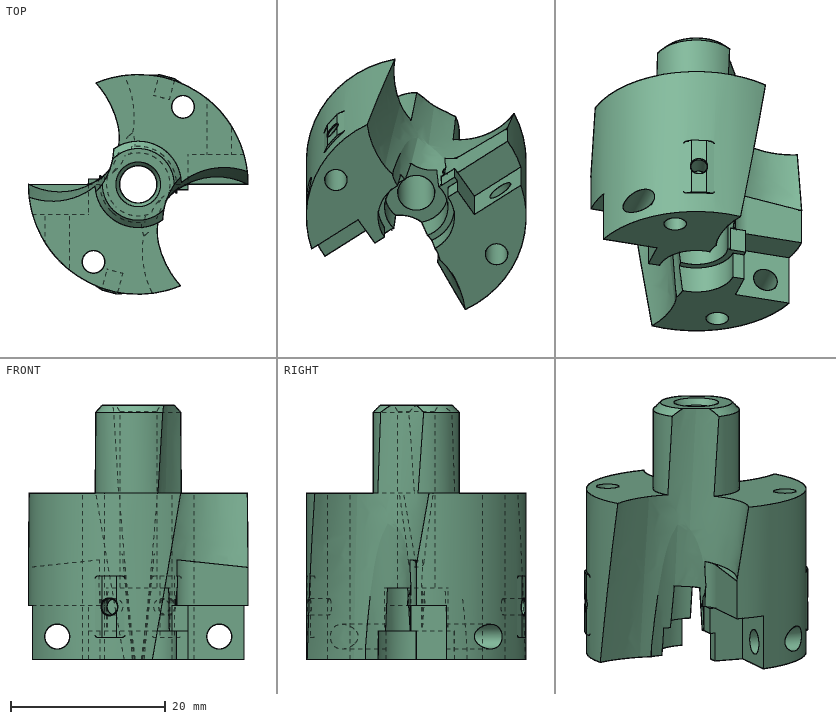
import cadquery as cq
import math


BODY_RADIUS = 14.25
BODY_HEIGHT = 21.6
SHANK_RADIUS = 5.6
TOTAL_HEIGHT = 33.01
SHANK_CHAMFER = 0.95
BORE_RADIUS = 2.4
BORE_CHAMFER = 0.5
BORE_CHAMFER_DEPTH = 0.85

FLUTE_TURN_PER_MM = 0.71
TRAILING_RIM = (5.5, -13.15)
TRAILING_WALL = (3.37, -9.86)
CORE_START = (2.63, -7.6)
CORE_WALL = (2.55, -5.0)
CORE_EDGE = (3.6, -2.06)
LEADING_WALL = (6.3, 0.75)
LEADING_RIM = (14.3, 1.6)
FLUTE_OUTSIDE_RADIUS = 25.0

RELIEF_TILT = 7.0
RELIEF_START = (0.7, -6.6)
RELIEF_SIDE = (0.4, -5.1)
RELIEF_CORNER = (0.57, -3.66)
RELIEF_BACK = (2.2, -1.5)
RELIEF_END = (3.9, -0.7)
RELIEF_OPEN_SIDE = (5.0, -5.0)

SEAT_FLAT_START = 6.9
SEAT_INNER_X = 5.0
SEAT_FILLET = 2.65
SEAT_TOP_Z = 12.75
SEAT_TOP_SLOPE = 6.1
SEAT_BACKING = 3.0

POCKET_HEIGHT = 7.0
POCKET_INNER_X = 6.46
POCKET_DEPTH = 3.9
LEDGE_OFFSET = 0.7
LEDGE_INNER_X = 4.4

LOWER_STEP_RADIUS = 4.95
LOWER_STEP_HEIGHT = 3.7
UPPER_STEP_RADIUS = 4.1
UPPER_STEP_TOP_Z = 9.3

CROSS_HOLE_X = 10.5
CROSS_HOLE_Z = 3.0
CROSS_HOLE_RADIUS = 1.6
AXIAL_HOLE_CIRCLE = 11.6
AXIAL_HOLE_ANGLE = 60.0
AXIAL_HOLE_RADIUS = 1.45

PAD_ANGLE = 15.0
PAD_DISTANCE = 14.46
PAD_FACE_WIDTH = 1.96
PAD_WIDTH = 4.1
PAD_DROP = 0.37
PAD_ROOT = 1.5
PAD_HEIGHT = 8.0
PAD_MID_Z = 6.86
PAD_CORNER = 0.5
PAD_HOLE_RADIUS = 1.05
PAD_HOLE_DEPTH = 2.8
PAD_HOLE_CHAMFER = 0.12

HALF_TURNS = (0, 180)


def turned(shape, angle):
    return shape.rotate((0, 0, 0), (0, 0, 1), angle)


def box_between(x_range, y_range, z_range):
    lengths = [high - low for low, high in (x_range, y_range, z_range)]
    corner = (x_range[0], y_range[0], z_range[0])
    return cq.Workplane("XY").box(*lengths, centered=False).translate(corner)


def blank():
    body = cq.Workplane("XY").circle(BODY_RADIUS).extrude(BODY_HEIGHT)
    shank = cq.Workplane("XY").circle(SHANK_RADIUS).extrude(TOTAL_HEIGHT)
    return body.union(shank.faces(">Z").chamfer(SHANK_CHAMFER))


def flute():
    """Void of one flute, twisted over the full height."""
    reach = FLUTE_OUTSIDE_RADIUS / math.hypot(*LEADING_RIM)
    leading_outside = (LEADING_RIM[0] * reach, LEADING_RIM[1] * reach)
    trailing_outside = (TRAILING_RIM[0] * reach, TRAILING_RIM[1] * reach)
    outside_corner = (leading_outside[0], trailing_outside[1])
    void = (
        cq.Workplane("XY")
        .moveTo(*TRAILING_RIM)
        .threePointArc(TRAILING_WALL, CORE_START)
        .threePointArc(CORE_WALL, CORE_EDGE)
        .threePointArc(LEADING_WALL, LEADING_RIM)
        .lineTo(*leading_outside)
        .lineTo(*outside_corner)
        .lineTo(*trailing_outside)
        .close()
        .twistExtrude(TOTAL_HEIGHT, FLUTE_TURN_PER_MM * TOTAL_HEIGHT)
    )
    return turned(void, -FLUTE_TURN_PER_MM * BODY_HEIGHT)


def core_relief():
    """Void along an axis leaning toward the cutting edge, merging into the flute as it rises."""
    outline = (
        cq.Workplane("XY")
        .moveTo(*RELIEF_START)
        .threePointArc(RELIEF_SIDE, RELIEF_CORNER)
        .threePointArc(RELIEF_BACK, RELIEF_END)
        .lineTo(*RELIEF_OPEN_SIDE)
        .close()
        .val()
    )
    lean = BODY_HEIGHT * math.tan(math.radians(RELIEF_TILT))
    return cq.Workplane(cq.Solid.extrudeLinear(outline, [], cq.Vector(lean, 0, BODY_HEIGHT)))


def seat_region():
    """Space below the sloping seat top, on the outer side of the seat."""
    slope = math.tan(math.radians(SEAT_TOP_SLOPE))
    inner_top = SEAT_TOP_Z + (SEAT_FLAT_START - SEAT_INNER_X) * slope
    outer_x = 2 * BODY_RADIUS
    outer_top = SEAT_TOP_Z - (outer_x - SEAT_FLAT_START) * slope
    return (
        cq.Workplane("XZ")
        .moveTo(SEAT_INNER_X, 0)
        .lineTo(outer_x, 0)
        .lineTo(outer_x, outer_top)
        .lineTo(SEAT_INNER_X, inner_top)
        .close()
        .extrude(BODY_RADIUS, both=True)
    )


def seat_backing():
    """Material filling the flute around the seat face, left for the seat to be cut into."""
    fill = box_between(
        (SEAT_INNER_X, BODY_RADIUS), (-SEAT_BACKING, SEAT_BACKING), (POCKET_HEIGHT, BODY_HEIGHT)
    )
    cylinder = cq.Workplane("XY").circle(BODY_RADIUS).extrude(BODY_HEIGHT)
    return fill.intersect(seat_region()).intersect(cylinder)


def seat_clearance():
    """Space in front of the seat face and its fillet."""
    front_y = -BODY_RADIUS / 2
    outer_x = 2 * BODY_RADIUS
    run = SEAT_FLAT_START - SEAT_INNER_X
    rise = SEAT_FILLET - math.sqrt(SEAT_FILLET**2 - run**2)
    half_angle = math.asin(run / SEAT_FILLET) / 2
    fillet_middle = (
        SEAT_FLAT_START - SEAT_FILLET * math.sin(half_angle),
        -SEAT_FILLET * (1 - math.cos(half_angle)),
    )
    section = (
        cq.Workplane("XY", origin=(0, 0, POCKET_HEIGHT))
        .moveTo(SEAT_INNER_X, front_y)
        .lineTo(SEAT_INNER_X, -rise)
        .threePointArc(fillet_middle, (SEAT_FLAT_START, 0))
        .lineTo(outer_x, 0)
        .lineTo(outer_x, front_y)
        .close()
        .extrude(BODY_HEIGHT)
    )
    return section.intersect(seat_region())


def ledge():
    """Block beside the pocket, between the lower bore step and the seat."""
    return box_between(
        (LEDGE_INNER_X, POCKET_INNER_X), (-LEDGE_OFFSET, SEAT_BACKING), (LOWER_STEP_HEIGHT, POCKET_HEIGHT)
    )


def ledge_clearance():
    """Space in front of the ledge and of the wall below it."""
    front_y = -BODY_RADIUS / 2
    outer_x = 2 * BODY_RADIUS
    before_ledge = box_between((LEDGE_INNER_X, outer_x), (front_y, -LEDGE_OFFSET), (0, POCKET_HEIGHT))
    below_ledge = box_between((LEDGE_INNER_X, outer_x), (front_y, 0), (0, LOWER_STEP_HEIGHT))
    return before_ledge.union(below_ledge)


def pocket():
    return box_between(
        (POCKET_INNER_X, 2 * BODY_RADIUS), (-BODY_RADIUS / 2, POCKET_DEPTH), (0, POCKET_HEIGHT)
    )


def cross_hole():
    return (
        cq.Workplane("XZ")
        .center(CROSS_HOLE_X, CROSS_HOLE_Z)
        .circle(CROSS_HOLE_RADIUS)
        .extrude(BODY_RADIUS, both=True)
    )


def axial_hole():
    hole = (
        cq.Workplane("XY")
        .center(AXIAL_HOLE_CIRCLE, 0)
        .circle(AXIAL_HOLE_RADIUS)
        .extrude(BODY_HEIGHT)
    )
    return turned(hole, AXIAL_HOLE_ANGLE)


def pad():
    """Pad on the -Y side with a flat face and two sloping flanks, turned to its angle."""
    face_y = -PAD_DISTANCE
    flank_y = face_y + PAD_DROP
    root_y = face_y + PAD_ROOT
    block = (
        cq.Workplane("XY", origin=(0, 0, PAD_MID_Z - PAD_HEIGHT / 2))
        .moveTo(-PAD_WIDTH / 2, root_y)
        .lineTo(-PAD_WIDTH / 2, flank_y)
        .lineTo(-PAD_FACE_WIDTH / 2, face_y)
        .lineTo(PAD_FACE_WIDTH / 2, face_y)
        .lineTo(PAD_WIDTH / 2, flank_y)
        .lineTo(PAD_WIDTH / 2, root_y)
        .close()
        .extrude(PAD_HEIGHT)
    )
    outline = (
        cq.Workplane("XZ")
        .center(0, PAD_MID_Z)
        .rect(PAD_WIDTH, PAD_HEIGHT)
        .extrude(2 * BODY_RADIUS)
        .edges("|Y")
        .fillet(PAD_CORNER)
    )
    return turned(block.intersect(outline), -PAD_ANGLE)


def pad_hole():
    mouth = cq.Workplane("XZ", origin=(0, -PAD_DISTANCE, PAD_MID_Z))
    hole = mouth.circle(PAD_HOLE_RADIUS).extrude(-PAD_HOLE_DEPTH)
    rim = (
        mouth.circle(PAD_HOLE_RADIUS + PAD_HOLE_CHAMFER)
        .workplane(offset=-PAD_HOLE_CHAMFER)
        .circle(PAD_HOLE_RADIUS)
        .loft()
    )
    return turned(hole.union(rim), -PAD_ANGLE)


def bore():
    """Axial bore with a chamfered mouth and two wider steps at the lower end."""
    hole = cq.Workplane("XY").circle(BORE_RADIUS).extrude(TOTAL_HEIGHT)
    rim = (
        cq.Workplane("XY", origin=(0, 0, TOTAL_HEIGHT))
        .circle(BORE_RADIUS + BORE_CHAMFER)
        .workplane(offset=-BORE_CHAMFER_DEPTH)
        .circle(BORE_RADIUS)
        .loft()
    )
    lower_step = cq.Workplane("XY").circle(LOWER_STEP_RADIUS).extrude(LOWER_STEP_HEIGHT)
    upper_step = cq.Workplane("XY").circle(UPPER_STEP_RADIUS).extrude(UPPER_STEP_TOP_Z)
    return hole.union(rim).union(lower_step).union(upper_step)


part = blank()
for half_turn in HALF_TURNS:
    part = part.cut(turned(flute(), half_turn))

additions = (seat_backing(), ledge(), pad())
voids = (
    core_relief(),
    seat_clearance(),
    ledge_clearance(),
    pocket(),
    cross_hole(),
    axial_hole(),
    pad_hole(),
)
for half_turn in HALF_TURNS:
    for addition in additions:
        part = part.union(turned(addition, half_turn))
for half_turn in HALF_TURNS:
    for void in voids:
        part = part.cut(turned(void, half_turn))

result = part.cut(bore())